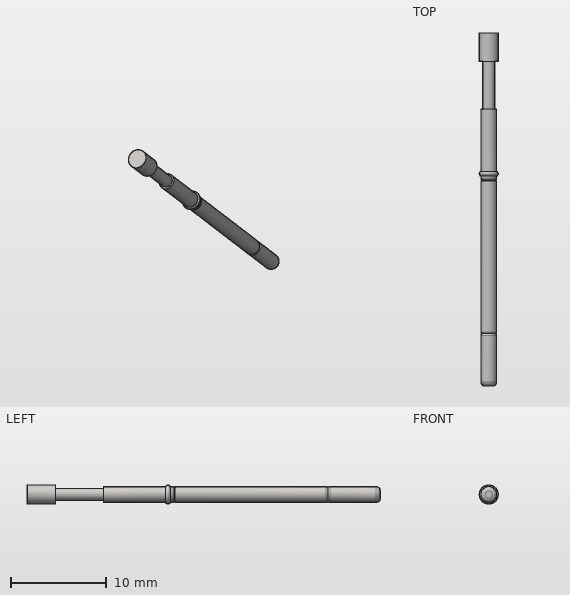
import cadquery as cq
import math

TOTAL_LENGTH = 37.0

HEAD_RADIUS = 1.0
HEAD_LENGTH = 3.0

PLUNGER_RADIUS = 0.65

BARREL_RADIUS = 0.835
BARREL_START = 8.0
TAIL_FILLET = 0.45

COLLAR_RADIUS = HEAD_RADIUS
COLLAR_START = 14.5
COLLAR_LENGTH = 0.5

SHOULDER_LENGTH = 0.2
SHOULDER_DEPTH = 0.1

COLLAR_GROOVE_START = 15.2
COLLAR_GROOVE_FLOOR = 0.1

CRIMP_CREASE = 31.5

CUTTER_RADIUS = 1.2 * BARREL_RADIUS


def turned(radius, start, end):
    """Cylinder about Y between two stations."""
    return cq.Workplane("XZ", origin=(0, -start, 0)).circle(radius).extrude(end - start)


def revolved(profile):
    """Closed XY profile turned once around the Y axis."""
    return profile.close().revolve(360, (0, 0, 0), (0, 1, 0))


def shoulder_midpoint():
    """Middle of the rolled shoulder arc: distance along the barrel and drop below its surface."""
    arc_radius = (SHOULDER_LENGTH**2 + SHOULDER_DEPTH**2) / (2 * SHOULDER_DEPTH)
    half_angle = math.asin(SHOULDER_LENGTH / arc_radius) / 2
    return arc_radius * math.sin(half_angle), arc_radius * (1 - math.cos(half_angle))


def collar_groove():
    along, drop = shoulder_midpoint()
    floor_radius = BARREL_RADIUS - SHOULDER_DEPTH
    start = -COLLAR_GROOVE_START
    floor_start = start - SHOULDER_LENGTH
    wall = floor_start - COLLAR_GROOVE_FLOOR
    return revolved(
        cq.Workplane("XY")
        .moveTo(CUTTER_RADIUS, start)
        .lineTo(BARREL_RADIUS, start)
        .threePointArc((BARREL_RADIUS - drop, start - along), (floor_radius, floor_start))
        .lineTo(floor_radius, wall)
        .lineTo(CUTTER_RADIUS, wall)
    )


def crimp_groove():
    along, drop = shoulder_midpoint()
    crease_radius = BARREL_RADIUS - SHOULDER_DEPTH
    start = -CRIMP_CREASE + SHOULDER_LENGTH
    end = -CRIMP_CREASE - SHOULDER_LENGTH
    return revolved(
        cq.Workplane("XY")
        .moveTo(CUTTER_RADIUS, start)
        .lineTo(BARREL_RADIUS, start)
        .threePointArc((BARREL_RADIUS - drop, start - along), (crease_radius, -CRIMP_CREASE))
        .threePointArc((BARREL_RADIUS - drop, end + along), (BARREL_RADIUS, end))
        .lineTo(CUTTER_RADIUS, end)
    )


def collar():
    front = -COLLAR_START
    middle = front - COLLAR_LENGTH / 2
    rear = front - COLLAR_LENGTH
    return revolved(
        cq.Workplane("XY")
        .moveTo(0, front)
        .lineTo(BARREL_RADIUS, front)
        .threePointArc((COLLAR_RADIUS, middle), (BARREL_RADIUS, rear))
        .lineTo(0, rear)
    )


def plunger():
    head = turned(HEAD_RADIUS, 0, HEAD_LENGTH)
    shaft = turned(PLUNGER_RADIUS, HEAD_LENGTH, BARREL_START)
    return head.union(shaft)


def barrel():
    tube = turned(BARREL_RADIUS, BARREL_START, TOTAL_LENGTH)
    tube = tube.faces("<Y").edges().fillet(TAIL_FILLET)
    return tube.union(collar()).cut(collar_groove()).cut(crimp_groove())


result = plunger().union(barrel())